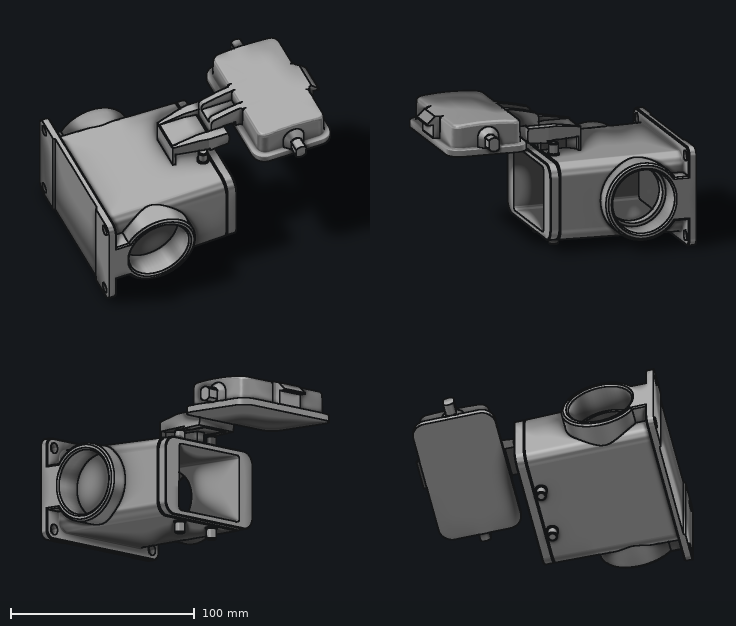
import cadquery as cq
import math


plate_width = 94.0
plate_height = 55.9
plate_thickness = 4.4
plate_corner = 4.7
plate_edge = 0.5
recess_half_width = 28.1
recess_depth = 1.0
screw_hole_diameter = 5.7
screw_hole_x = 41.0
screw_hole_z = 22.5

body_base_width = 74.9
body_base_height = 45.7
body_taper = 0.75
body_corner = 7.4
body_end = 74.5
base_fillet = 0.9
rim_width = 73.2
rim_height = 43.1
rim_start = 75.3
rim_end = 80.5
rim_edge = 0.4
groove_depth = 0.4
wall = 3.1
side_wall = 11.3
cavity_start = 8.5
cavity_corner = 2.1

boss_y = 30.0
boss_radius = 21.7
boss_chamfer = 1.1
boss_root_x = 28.4
bore_radius = 17.9
bore_chamfer = 1.0
bore_depth = 16.0
inner_bore_radius = 16.0
web_half_height = 12.2
web_chamfer = 0.9

pin_x = 13.2
pin_y = 70.8
pin_radius = 2.7
pin_chamfer = 0.5
pin_end_z = 28.5
collar_radius = 3.3
collar_edge = 0.4
collar_end_z = 22.7

lid_y = 115.5
lid_bottom = 31.8
flange_top = 35.6
flange_width = 75.0
flange_length = 46.1
flange_corner = 7.7
cup_width = 68.4
cup_length = 39.7
cup_corner = 5.0
cup_taper = 1.5
cup_edge = 2.0
cup_base_fillet = 0.4
crown_top = 49.6
crown_radius = 134.7

arm_half_width = 8.7
arm_end = 77.7
arm_bottom = 38.0
arm_underside_end = 92.2
arm_nose = 2.8
channel_half_width = 5.0
channel_floor = 41.0
lip_end = 141.8
lip_tip_top = 43.7
lip_bottom = 43.0
lip_slope_start = 137.4
arm_fillet = 1.3
lip_fillet = 2.0

stud_end_x = 44.4
stud_radius = 3.8
stud_center_z = 39.1
lug_half_width = 3.0
lug_arch_z = 40.4
lug_root_radius = 6.4
lug_inset = 0.4

clip_half_width = 14.3
clip_front_half_width = 10.5
clip_taper_start = 73.9
clip_front = 54.0
clip_back = 85.4
clip_bulge = 0.7
clip_top = 37.7
clip_front_top = 35.3
clip_slope_start = 69.2
clip_bottom = 29.9
clip_heel_y = 74.5
clip_heel_z = 28.8
clip_back_bottom = 29.5
clip_floor = 35.2
clip_floor_end = 68.8
clip_dip_y = 76.3
clip_dip_z = 34.0
clip_end_z = 32.8
clip_edge_drop = 0.7
clip_lip = 0.4
leg_thickness = 1.4
leg_bottom = 21.3
rib_half_width = 2.8
rib_end = 60.0
knuckle_end = 66.1
knuckle_back = 84.8


def block(x0, x1, y0, y1, z0, z1):
    """Box between two opposite corners."""
    return cq.Workplane("XY").box(x1 - x0, y1 - y0, z1 - z0, centered=False).translate((x0, y0, z0))


def rounded_sketch(width, height, corner):
    """Rectangle with rounded corners."""
    return cq.Sketch().rect(width, height).vertices().fillet(corner)


def rounded_block(width, height, corner, y0, y1):
    """Rounded rectangle in XZ, swept along +Y from y0 to y1."""
    sketch = rounded_sketch(width, height, corner)
    return cq.Workplane("XZ", origin=(0, y0, 0)).placeSketch(sketch).extrude(y0 - y1)


def side_profile(half_width):
    """YZ workplane whose extrusion by twice the half width is centred on X = 0."""
    return cq.Workplane("YZ", origin=(-half_width, 0, 0))


def crown_height(y):
    """Height of the arched lid top at a given Y."""
    return crown_top - crown_radius + math.sqrt(crown_radius**2 - (y - lid_y) ** 2)


def rod_x(x0, x1, radius):
    """Cylinder along X on the boss axis."""
    return cq.Workplane("YZ", origin=(x0, boss_y, 0)).circle(radius).extrude(x1 - x0)


def make_housing():
    plate = rounded_block(plate_width, plate_height, plate_corner, 0, plate_thickness)
    plate = plate.faces(">Y").edges().chamfer(plate_edge)
    body = cq.Workplane("XZ").rect(body_base_width, body_base_height).extrude(-body_end, taper=body_taper)
    body = body.edges("not #Y").fillet(body_corner)
    half_plate = plate_width / 2
    web = block(-half_plate, half_plate, 0, boss_y, -web_half_height, web_half_height)
    web = web.edges("|Y").chamfer(web_chamfer)
    housing = plate.union(body)

    inner_edges = cq.selectors.BoxSelector(
        (-body_base_width / 2 - 1.4, plate_thickness - 0.1, -body_base_height / 2 - 1.4),
        (body_base_width / 2 + 1.4, plate_thickness + 0.1, body_base_height / 2 + 1.4),
    )
    housing = housing.edges(inner_edges).fillet(base_fillet)
    housing = housing.union(web)

    neck = rounded_block(
        rim_width - 2 * groove_depth, rim_height - 2 * groove_depth, body_corner, body_end - 1.4, rim_start + 1.4
    )
    rim = rounded_block(rim_width, rim_height, body_corner, rim_start, rim_end)
    rim = rim.faces(">Y").edges().chamfer(rim_edge)
    housing = housing.union(neck).union(rim)

    for side in (-1, 1):
        boss = rod_x(boss_root_x, half_plate, boss_radius).faces(">X").edges().chamfer(boss_chamfer)
        if side < 0:
            boss = boss.mirror("YZ")
        housing = housing.union(boss)
    return housing


def cut_housing(housing):
    half_plate = plate_width / 2

    recess = (
        cq.Workplane("XY", origin=(0, 0, -plate_height / 2))
        .polyline(
            [
                (-recess_half_width - recess_depth, 0),
                (-recess_half_width, recess_depth),
                (recess_half_width, recess_depth),
                (recess_half_width + recess_depth, 0),
            ]
        )
        .close()
        .extrude(plate_height)
    )
    screw_holes = (
        cq.Workplane("XZ")
        .rect(2 * screw_hole_x, 2 * screw_hole_z, forConstruction=True)
        .vertices()
        .circle(screw_hole_diameter / 2)
        .extrude(-plate_thickness)
    )
    cavity = rounded_block(
        rim_width - 2 * side_wall, rim_height - 2 * wall, cavity_corner, cavity_start, rim_end
    )
    housing = housing.cut(recess).cut(screw_holes).cut(cavity)

    bore = rod_x(half_plate - bore_depth, half_plate, bore_radius)
    mouth = (
        cq.Workplane("YZ", origin=(half_plate, boss_y, 0))
        .circle(bore_radius + bore_chamfer)
        .workplane(offset=-bore_chamfer)
        .circle(bore_radius)
        .loft()
    )
    bore = bore.union(mouth)
    inner_bore = rod_x(-half_plate, 0, inner_bore_radius)
    return housing.cut(bore).cut(bore.mirror("YZ")).cut(inner_bore)


def make_pins():
    pins = cq.Workplane("XY")
    cavity_roof = rim_height / 2 - wall
    for side in (-1, 1):
        base = cq.Workplane("XY", origin=(side * pin_x, pin_y, cavity_roof))
        pin = base.circle(pin_radius).extrude(pin_end_z - cavity_roof).faces(">Z").chamfer(pin_chamfer)
        collar = base.circle(collar_radius).extrude(collar_end_z - cavity_roof).faces(">Z").chamfer(collar_edge)
        pin = pin.union(collar)
        pins = pins.add(pin).add(pin.mirror("XY"))
    return pins.combine()


def lug_arch(x, radius):
    """Wire of an arch standing on the flange, in the YZ plane at the given X."""
    return (
        cq.Workplane("YZ", origin=(x, lid_y, 0))
        .moveTo(-radius, flange_top)
        .lineTo(-radius, lug_arch_z)
        .threePointArc((0, lug_arch_z + radius), (radius, lug_arch_z))
        .lineTo(radius, flange_top)
        .close()
        .wire()
        .val()
    )


def make_lug():
    root_x = cup_width / 2 - lug_inset
    neck_x = flange_width / 2
    arches = [lug_arch(root_x, lug_root_radius), lug_arch(neck_x, lug_half_width)]
    cone = cq.Workplane(cq.Solid.makeLoft(arches, True))
    stud = (
        cq.Workplane("YZ", origin=(root_x, lid_y, stud_center_z)).circle(stud_radius).extrude(stud_end_x - root_x)
    )
    flats = block(
        root_x,
        stud_end_x,
        lid_y - lug_half_width,
        lid_y + lug_half_width,
        stud_center_z - stud_radius,
        stud_center_z + stud_radius,
    )
    return cone.union(stud.intersect(flats))


def make_junction(face_y, outward, radius):
    """Concave fillets beside the arm or lip, where it leaves a cup wall at face_y."""
    tip_y = face_y + outward * radius
    corner = (
        cq.Workplane("XY", origin=(0, 0, flange_top))
        .moveTo(arm_half_width, tip_y)
        .radiusArc((arm_half_width + radius, face_y), -outward * radius)
        .lineTo(arm_half_width + radius, face_y - outward * cup_edge)
        .lineTo(arm_half_width, face_y - outward * cup_edge)
        .close()
        .extrude(crown_top - flange_top)
        .cut(make_crown_cut())
    )
    return corner.union(corner.mirror("YZ"))


def make_crown_cut():
    """Everything above the arched top surface."""
    reach = 85.1
    above = block(-reach, reach, lid_y - reach, lid_y + reach, lid_bottom, crown_top + reach)
    cylinder = (
        cq.Workplane("YZ", origin=(-reach, lid_y, crown_top - crown_radius))
        .circle(crown_radius)
        .extrude(2 * reach)
    )
    return above.cut(cylinder)


def make_lid():
    flange_sketch = rounded_sketch(flange_width, flange_length, flange_corner)
    cup_sketch = rounded_sketch(cup_width, cup_length, cup_corner)
    flange = cq.Workplane("XY", origin=(0, lid_y, lid_bottom)).placeSketch(flange_sketch)
    flange = flange.extrude(flange_top - lid_bottom)
    cup = cq.Workplane("XY", origin=(0, lid_y, flange_top)).placeSketch(cup_sketch)
    cup = cup.extrude(crown_top - flange_top + 1.4, taper=cup_taper)
    cup = cup.cut(make_crown_cut())
    cup = cup.faces(">Z").edges().fillet(cup_edge)
    cup_base_edges = cq.selectors.BoxSelector(
        (-cup_width / 2 - 1.4, lid_y - cup_length / 2 - 1.4, flange_top - 0.1),
        (cup_width / 2 + 1.4, lid_y + cup_length / 2 + 1.4, flange_top + 0.1),
    )
    cup = flange.union(cup).edges(cup_base_edges).fillet(cup_base_fillet)

    nose_y = arm_end + arm_nose
    nose_z = crown_height(nose_y)
    middle_y = (nose_y + lid_y) / 2
    arm = (
        side_profile(arm_half_width)
        .moveTo(lid_y, flange_top)
        .lineTo(lid_y, crown_top)
        .threePointArc((middle_y, crown_height(middle_y)), (nose_y, nose_z))
        .threePointArc((arm_end + 0.7, nose_z - 1.0), (arm_end, nose_z - arm_nose))
        .lineTo(arm_end, arm_bottom)
        .lineTo(arm_underside_end, arm_bottom)
        .lineTo(arm_underside_end, flange_top)
        .close()
        .extrude(2 * arm_half_width)
    )

    flange_end = lid_y + flange_length / 2
    lip_middle = (lid_y + lip_slope_start) / 2
    lip = (
        side_profile(arm_half_width)
        .moveTo(lid_y, flange_top)
        .lineTo(lid_y, crown_top)
        .threePointArc((lip_middle, crown_height(lip_middle)), (lip_slope_start, crown_height(lip_slope_start)))
        .lineTo(lip_end, lip_tip_top)
        .lineTo(lip_end, lip_bottom)
        .lineTo(flange_end, lip_bottom)
        .lineTo(flange_end, flange_top)
        .close()
        .extrude(2 * arm_half_width)
    )
    channel_end = lid_y - cup_length / 2 + 2 * cup_edge
    channel = block(
        -channel_half_width, channel_half_width, arm_end, channel_end, channel_floor, crown_top
    )
    lug = make_lug()
    lid = arm.cut(channel).union(lip).union(cup).clean()
    arm_corners = make_junction(lid_y - cup_length / 2, -1, arm_fillet)
    lip_corners = make_junction(lid_y + cup_length / 2, 1, lip_fillet)
    lid = lid.union(arm_corners).union(lip_corners)
    return lid.union(lug).union(lug.mirror("YZ"))


def make_clip():
    clip = (
        side_profile(clip_half_width)
        .moveTo(clip_front, leg_bottom)
        .lineTo(clip_front, clip_front_top)
        .lineTo(clip_slope_start, clip_top)
        .lineTo(clip_back, clip_top)
        .threePointArc((clip_back + clip_bulge, (clip_top + clip_back_bottom) / 2), (clip_back, clip_back_bottom))
        .lineTo(clip_heel_y, clip_heel_z)
        .lineTo(clip_heel_y, clip_bottom)
        .lineTo(clip_front + leg_thickness, clip_bottom)
        .lineTo(clip_front + leg_thickness, leg_bottom)
        .close()
        .extrude(2 * clip_half_width)
    )
    back = clip_back + clip_bulge
    plan = (
        cq.Workplane("XY", origin=(0, 0, leg_bottom))
        .polyline(
            [
                (-clip_half_width, back),
                (-clip_half_width, clip_taper_start),
                (-clip_front_half_width, clip_front),
                (clip_front_half_width, clip_front),
                (clip_half_width, clip_taper_start),
                (clip_half_width, back),
            ]
        )
        .close()
        .extrude(clip_top - leg_bottom)
    )
    clip = clip.intersect(plan)

    slot = (
        side_profile(arm_half_width)
        .moveTo(clip_front, clip_front_top)
        .lineTo(clip_front, clip_floor - clip_edge_drop)
        .lineTo(clip_front + clip_lip, clip_floor)
        .lineTo(clip_floor_end, clip_floor)
        .lineTo(clip_dip_y, clip_dip_z)
        .lineTo(arm_end, clip_end_z)
        .lineTo(arm_end, clip_top)
        .lineTo(clip_front, clip_top)
        .close()
        .extrude(2 * arm_half_width)
    )
    clip = clip.cut(slot)

    knuckle = block(
        -arm_half_width, arm_half_width, arm_end, knuckle_back, clip_heel_z, arm_bottom + 1.4
    )
    heel = block(
        -arm_half_width, arm_half_width, knuckle_end, arm_end, clip_heel_z, clip_bottom
    )

    leg_inside = clip_front + leg_thickness
    flare_half_width = rib_half_width + rib_end - leg_inside
    rib = (
        cq.Workplane("XY", origin=(0, 0, leg_bottom))
        .polyline(
            [
                (-rib_half_width, clip_heel_y),
                (-rib_half_width, rib_end),
                (-flare_half_width, leg_inside),
                (flare_half_width, leg_inside),
                (rib_half_width, rib_end),
                (rib_half_width, clip_heel_y),
            ]
        )
        .close()
        .extrude(clip_bottom - leg_bottom)
    )
    return clip.union(knuckle).union(heel).union(rib)


housing = cut_housing(make_housing())
result = housing.union(make_pins()).union(make_lid()).union(make_clip())